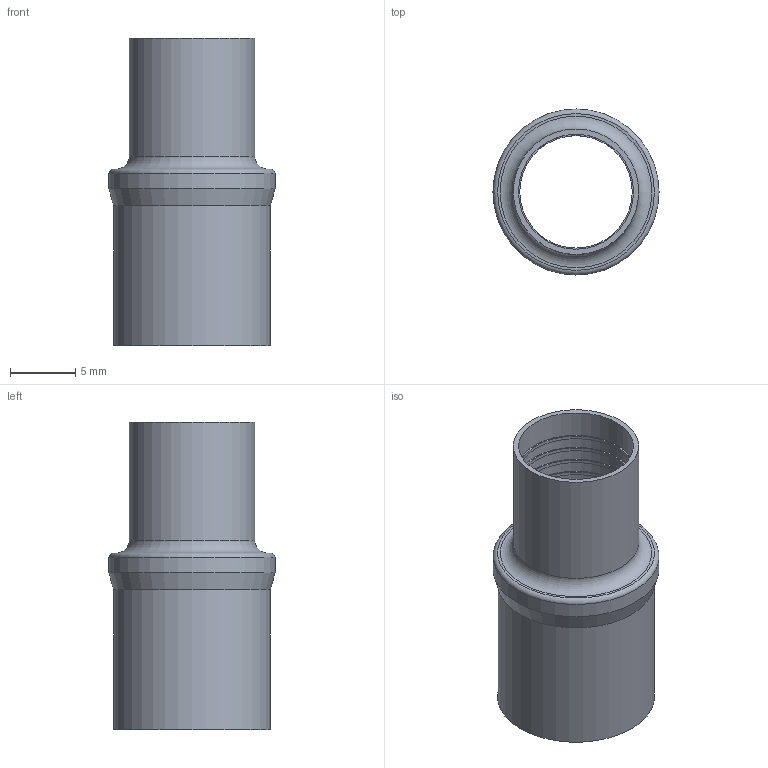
import cadquery as cq
import math

total_height = 23.5

spigot_radius = 4.8
body_radius = 6.0
collar_radius = 6.35

taper_bottom = 10.7
collar_bottom = 12.0
collar_top = 13.5
collar_round = 0.35
neck_fillet = 1.0

wall_thickness = 0.4
bore_radius = spigot_radius - wall_thickness
ridge_count = 4
ridge_pitch = 1.12
first_ridge_depth = 2.1
ridge_width = 0.25
ridge_height = 0.1
ridge_root_radius = bore_radius + wall_thickness / 2


def arc_point(center_r, center_z, radius, angle_degrees):
    """Profile point (radial distance, height) on an arc at the given angle."""
    angle = math.radians(angle_degrees)
    return center_r + radius * math.cos(angle), center_z + radius * math.sin(angle)


def make_sleeve():
    """Revolved sleeve: wide body, tapered collar, filleted neck and thin spigot."""
    round_center_r = collar_radius - collar_round
    round_center_z = collar_top - collar_round
    fillet_center_r = spigot_radius + neck_fillet
    fillet_center_z = collar_top + neck_fillet
    profile = (
        cq.Workplane("XZ")
        .moveTo(bore_radius, 0)
        .lineTo(body_radius, 0)
        .lineTo(body_radius, taper_bottom)
        .lineTo(collar_radius, collar_bottom)
        .lineTo(collar_radius, round_center_z)
        .threePointArc(
            arc_point(round_center_r, round_center_z, collar_round, 45),
            (round_center_r, collar_top),
        )
        .lineTo(fillet_center_r, collar_top)
        .threePointArc(
            arc_point(fillet_center_r, fillet_center_z, neck_fillet, 225),
            (spigot_radius, fillet_center_z),
        )
        .lineTo(spigot_radius, total_height)
        .lineTo(bore_radius, total_height)
        .close()
    )
    return profile.revolve(360, (0, 0, 0), (0, 1, 0))


def make_ridge(top_height):
    """Thin ring standing inward from the bore, rooted inside the wall."""
    return (
        cq.Workplane("XY")
        .workplane(offset=top_height - ridge_width)
        .circle(ridge_root_radius)
        .circle(bore_radius - ridge_height)
        .extrude(ridge_width)
    )


result = make_sleeve()
for index in range(ridge_count):
    ridge_top = total_height - first_ridge_depth - index * ridge_pitch
    result = result.union(make_ridge(ridge_top))